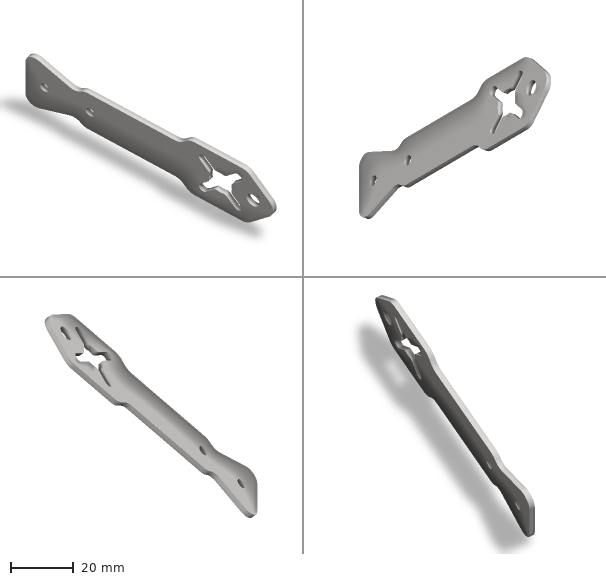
import cadquery as cq
import math

LENGTH = 97.9
THICKNESS = 2.0
HEAD_HALF_WIDTH = 25.0 / 2
BODY_HALF_WIDTH = 8.4

TAIL_HALF_WIDTH = 13.1
TAIL_TAPER = math.radians(20.2)
TAIL_RADIUS = 4.0
NECK_RAMP = math.radians(39)
NECK_RADIUS = 4.4
BODY_START_X = 23.2
BODY_END_X = 61.0
HEAD_RADIUS = 5.0

TAIL_HOLE_XS = (7.5, 25.5)
TAIL_HOLE_DIAMETER = 3.4
NOSE_HOLE_X = 89.9
NOSE_HOLE_DIAMETER = 5.1

CROSS_X = 77.0
CROSS_HUB_RADIUS = 9.1 / 2
ARM_END_OFFSET = 6.85
ARM_WIDTH = 3.2
CROSS_FILLET = 1.5


def extrude_through(sketch):
    """Extrude an XZ sketch to the plate thickness, centred on Y = 0."""
    return sketch.extrude(THICKNESS / 2, both=True)


def round_corners(solid, corners, radius):
    """Round the through-thickness edges at the given corners and their mirror images."""
    edges = []
    for x, z in corners:
        for side in (1, -1):
            edges += solid.edges(cq.selectors.NearestToPointSelector((x, 0, side * z))).vals()
    return solid.newObject(edges).fillet(radius)


def make_plate():
    taper_slope = math.tan(TAIL_TAPER)
    ramp_slope = math.tan(NECK_RAMP)
    neck_rise = TAIL_HALF_WIDTH - BODY_HALF_WIDTH + BODY_START_X * ramp_slope
    neck_x = neck_rise / (ramp_slope + taper_slope)
    tip_x = LENGTH + HEAD_RADIUS * (math.sqrt(2) - 1)

    tail = (0, TAIL_HALF_WIDTH)
    neck = (neck_x, TAIL_HALF_WIDTH - neck_x * taper_slope)
    body_start = (BODY_START_X, BODY_HALF_WIDTH)
    body_end = (BODY_END_X, BODY_HALF_WIDTH)
    head_start = (BODY_END_X + HEAD_HALF_WIDTH - BODY_HALF_WIDTH, HEAD_HALF_WIDTH)
    head_end = (tip_x - HEAD_HALF_WIDTH, HEAD_HALF_WIDTH)
    tip = (tip_x, 0)

    upper = [tail, neck, body_start, body_end, head_start, head_end]
    lower = [(x, -z) for x, z in reversed(upper)]
    plate = extrude_through(cq.Workplane("XZ").polyline(upper + [tip] + lower).close())

    plate = round_corners(plate, [tail], TAIL_RADIUS)
    plate = round_corners(plate, [neck, body_start], NECK_RADIUS)
    plate = round_corners(plate, [body_end, head_start, head_end], HEAD_RADIUS)
    return plate.edges("|Y").edges(">X").fillet(HEAD_RADIUS)


def make_hole(x, diameter):
    return extrude_through(cq.Workplane("XZ").center(x, 0).circle(diameter / 2))


def make_cross():
    center = cq.Workplane("XZ").center(CROSS_X, 0)
    arm_length = 2 * math.sqrt(2) * ARM_END_OFFSET + ARM_WIDTH
    cross = extrude_through(center.circle(CROSS_HUB_RADIUS))
    for angle in (45, -45):
        cross = cross.union(extrude_through(center.slot2D(arm_length, ARM_WIDTH, angle)))

    along = math.sqrt(CROSS_HUB_RADIUS**2 - (ARM_WIDTH / 2) ** 2)
    near = (along - ARM_WIDTH / 2) / math.sqrt(2)
    far = (along + ARM_WIDTH / 2) / math.sqrt(2)
    corners = [(CROSS_X + side * dx, dz) for side in (1, -1) for dx, dz in ((near, far), (far, near))]
    return round_corners(cross, corners, CROSS_FILLET)


result = make_plate().cut(make_cross()).cut(make_hole(NOSE_HOLE_X, NOSE_HOLE_DIAMETER))
for hole_x in TAIL_HOLE_XS:
    result = result.cut(make_hole(hole_x, TAIL_HOLE_DIAMETER))